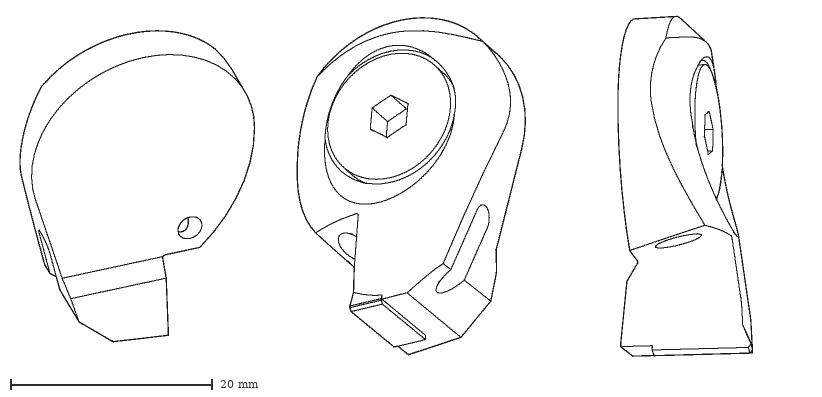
import cadquery as cq
import math


head_radius = 11.75
flank_angle = 15.0
flank_bottom_z = -24.32
bulge_radius = 18.55
bulge_end_z = -15.65
blade_side_y = 2.05

nose_tilt = 1.7
nose_shoulder = (-7.23, -18.4)
nose_corner = (-3.8, -21.55)
nose_end_z = -22.2

lug_start_z = -13.6
lug_shoulder = (1.1, -15.45)
lug_tip = (1.75, -21.85)
stock_front_x = -15.65
stock_back_x = 3.47

front_radius = 17.37
front_x = -8.02
front_tilt = 8.1
nose_front_radius = 19.1
nose_front_x = -10.63
nose_front_tilt = 3.0
crown_center_z = -0.6
crown_start_x = -4.15

notch_z = -13.45
notch_tilt = 12.0
notch_corner_radius = 0.28

coolant_diameter = 2.5
coolant_y = 4.95
coolant_mouth_x = -4.72
coolant_rise = 20.0

groove_diameter = 2.8
groove_top_x = -4.03
groove_top_z = -12.02
groove_lean = 16.3
groove_length = 13.9

screw_diameter = 13.6
screw_face_x = -6.77
screw_floor_x = -2.78
hex_circumdiameter = 4.6
hex_depth = 3.47
hex_turn = 5.2
seat_taper_x = -4.85
rim_x = -6.6
rim_radius = 7.23
flare_length = 6.95
flare_angle = 50.0

tip_outline = [(-10.42, -20.15), (-11.45, -22.5), (-11.45, -22.7), (-11.2, -23.0), (-1.45, -22.7), (-1.45, -20.15)]
tip_width = 3.23
tip_relief_x = 0.5
tip_relief_z = 0.35

FAR = 34.75


def flank_y(z):
    """Y of the straight flank, tangent to the round head, at height z."""
    angle = math.radians(flank_angle)
    return -(head_radius + z * math.sin(angle)) / math.cos(angle)


def bulge_y(z):
    """Y of the wider arc on the +Y side at height z."""
    return head_radius - bulge_radius + math.sqrt(bulge_radius**2 - z**2)


def tilted(solid, angle, z):
    """Turn a body about the line parallel to Y through X = 0 at height z."""
    return solid.rotate((0, 0, z), (0, 1, z), angle)


def yz_plane(x):
    return cq.Workplane("YZ", origin=(x, 0, 0))


def x_cone(start_x, end_x, start_radius, end_radius, center_z=0.0):
    """Cone or frustum whose axis is parallel to X."""
    base = cq.Vector(start_x, 0, center_z)
    axis = cq.Vector(1, 0, 0)
    return cq.Workplane(cq.Solid.makeCone(start_radius, end_radius, end_x - start_x, base, axis))


def make_blank():
    """Head and blade outline, trimmed by the tilted nose and by the stepped back."""
    angle = math.radians(flank_angle)
    tangent_z = -head_radius * math.sin(angle)
    bulge_mid_z = bulge_end_z / 2
    length = stock_back_x - stock_front_x
    blank = (
        yz_plane(stock_front_x)
        .moveTo(flank_y(flank_bottom_z), flank_bottom_z)
        .lineTo(flank_y(tangent_z), tangent_z)
        .threePointArc((0, head_radius), (head_radius, 0))
        .threePointArc((bulge_y(bulge_mid_z), bulge_mid_z), (bulge_y(bulge_end_z), bulge_end_z))
        .lineTo(blade_side_y, bulge_end_z)
        .lineTo(blade_side_y, flank_bottom_z)
        .close()
        .extrude(length)
    )
    shoulder_y, shoulder_z = nose_shoulder
    nose = (
        yz_plane(stock_front_x)
        .polyline([
            (-FAR, FAR), (-FAR, shoulder_z), (shoulder_y, shoulder_z), nose_corner,
            (blade_side_y, nose_end_z), (FAR, nose_end_z), (FAR, FAR),
        ])
        .close()
        .extrude(length)
    )
    back = (
        cq.Workplane("XZ", origin=(0, FAR, 0))
        .polyline([
            (-FAR, FAR), (0, FAR), (0, lug_start_z), lug_shoulder, lug_tip,
            (lug_tip[0], -FAR), (-FAR, -FAR),
        ])
        .close()
        .extrude(2 * FAR)
    )
    return blank.intersect(tilted(nose, -nose_tilt, nose_end_z)).intersect(back)


def front_cylinder(radius, surface_x, z, tilt):
    """Cylinder whose -X side passes surface_x at height z and leans out downward by tilt."""
    base = cq.Workplane("XY", origin=(surface_x + radius, 0, z - FAR))
    upright = base.circle(radius).extrude(2 * FAR)
    return upright.rotate((surface_x, 0, z), (surface_x, 1, z), tilt)


def shape_front(body):
    """Leave the leaning front, the steeper nose front and the conical crown."""
    main_front = front_cylinder(front_radius, front_x, 0, front_tilt)
    nose_front = front_cylinder(nose_front_radius, nose_front_x, nose_shoulder[1], nose_front_tilt)
    crown_radius = head_radius - crown_center_z
    crown_base_radius = crown_radius + stock_back_x - crown_start_x
    crown = x_cone(crown_start_x - crown_radius, stock_back_x, 0, crown_base_radius, crown_center_z)
    above_waist = cq.Workplane("XY").box(2 * FAR, 2 * FAR, FAR, centered=(True, True, False))
    below_waist = above_waist.translate((0, 0, -FAR))
    return body.intersect(main_front).intersect(nose_front).intersect(crown.union(below_waist))


def make_notch():
    notch = (
        cq.Workplane("XY", origin=(0, blade_side_y, notch_z - FAR))
        .box(2 * FAR, FAR, FAR, centered=(True, False, False))
        .edges("<Y and >Z")
        .fillet(notch_corner_radius)
    )
    return tilted(notch, notch_tilt, notch_z)


def make_coolant_hole():
    """Rises from the sloping notch ceiling to the back of the head."""
    mouth_z = notch_z - coolant_mouth_x * math.tan(math.radians(notch_tilt))
    rise = math.radians(coolant_rise)
    direction = cq.Vector(math.cos(rise), 0, math.sin(rise))
    mouth = cq.Vector(coolant_mouth_x, coolant_y, mouth_z)
    lead_in = 5.2
    start = mouth - direction * lead_in
    hole = cq.Solid.makeCylinder(coolant_diameter / 2, 3 * lead_in, start, direction)
    return cq.Workplane(hole)


def make_groove():
    """Round-ended groove whose axis lies in the flank."""
    start = cq.Vector(groove_top_x, flank_y(groove_top_z), groove_top_z)
    direction = cq.Vector(
        -math.tan(math.radians(groove_lean)), math.tan(math.radians(flank_angle)), -1
    )
    shaft = cq.Solid.makeCylinder(groove_diameter / 2, groove_length, start, direction)
    ball = cq.Workplane("XY").sphere(groove_diameter / 2).translate(start)
    return ball.union(cq.Workplane(shaft))


def make_screw_seat():
    """Fitted pocket, slightly tapered mouth and conical flare."""
    screw_radius = screw_diameter / 2
    pocket = yz_plane(seat_taper_x).circle(screw_radius).extrude(screw_floor_x - seat_taper_x)
    mouth = x_cone(rim_x, seat_taper_x, rim_radius, screw_radius)
    flare_radius = rim_radius + flare_length * math.tan(math.radians(flare_angle))
    flare = x_cone(rim_x - flare_length, rim_x, flare_radius, rim_radius)
    return pocket.union(mouth).union(flare)


def make_tip():
    """Cutting tip, relieved toward -Y on its front and lower faces."""
    relieved = [(x + tip_relief_x, z + tip_relief_z) for x, z in tip_outline]
    return (
        cq.Workplane("XZ", origin=(0, blade_side_y, 0))
        .polyline(tip_outline)
        .close()
        .workplane(offset=tip_width)
        .polyline(relieved)
        .close()
        .loft(ruled=True)
    )


def make_holder():
    body = shape_front(make_blank())
    body = body.cut(make_notch()).cut(make_coolant_hole())
    body = body.cut(make_groove()).cut(make_screw_seat())
    return body.union(make_tip())


def make_screw():
    """Round head with a hexagon socket."""
    head = yz_plane(screw_face_x).circle(screw_diameter / 2).extrude(screw_floor_x - screw_face_x)
    socket = yz_plane(screw_face_x).polygon(6, hex_circumdiameter).extrude(hex_depth)
    vertex_angle = 90 + hex_turn
    return head.cut(socket.rotate((0, 0, 0), (1, 0, 0), vertex_angle))


holder = make_holder()
screw = make_screw()

result = cq.Compound.makeCompound([holder.val(), screw.val()])